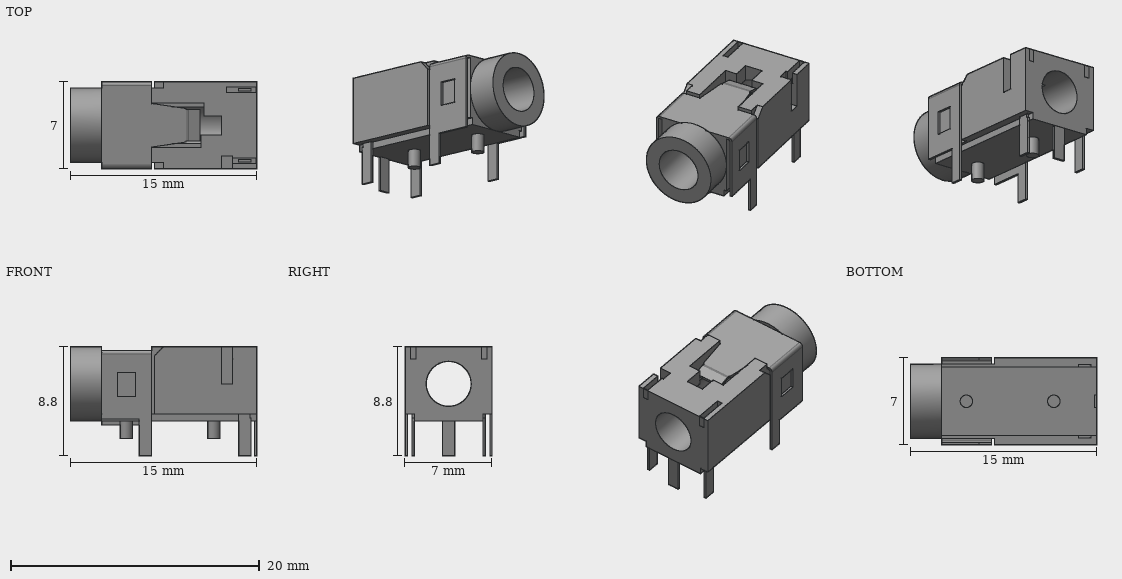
import cadquery as cq


LENGTH = 15.0
WIDTH = 7.0
HEIGHT = 6.0
LEG_DROP = 2.8
LEG_WIDTH = 1.0
SHEET = 0.2

BARREL_LENGTH = 2.5
BARREL_DIAMETER = HEIGHT
BORE_DIAMETER = 3.6
BORE_HEIGHT = HEIGHT / 2
WAIST_WIDTH = 6.0
BASE_WIDTH = 5.52
BASE_HEIGHT = 0.55
FLANGE_START = 6.52
BLOCK_START = 6.75
EAR_CHAMFER = 0.75
SHELL_TOP = 5.7
WAIST_TOP = SHELL_TOP - SHEET

POST_DIAMETER = 1.0
POST_LENGTH = 1.41
POST_POSITIONS = (4.5, 11.54)

OPENING_HALF_WIDTH = 1.78
OPENING_END_LEFT = 10.72
OPENING_END_RIGHT = 10.5
OPENING_FLOOR = 4.02
KEYWAY_WIDTH = 1.53
KEYWAY_END = 12.15

SLOT_CENTRE_Y = 2.85
SLOT_WIDTH = 0.44
SLOT_END = 14.94
SLOT_DEPTH = 1.0
SLOT_FLOOR = HEIGHT - SLOT_DEPTH
LEFT_SLOT_START = 12.57
NOTCH_START = 12.15
NOTCH_END = 13.05
NOTCH_FLOOR = 3.0
NOTCH_DEPTH = 1.02

TERMINAL_START = 13.53
TERMINAL_STEP_WIDTH = 0.09
TERMINAL_STEP_BOTTOM = 0.27

SHELL_BEND_RADIUS = 0.3
LEFT_WALL_BOTTOM = -0.32
RIGHT_WALL_BOTTOM = 0.18
WINDOW_START = 3.76
WINDOW_END = 5.25
WINDOW_BOTTOM = 1.96
WINDOW_TOP = 3.9
TONGUE_ROOT_HALF_WIDTH = 1.75
TONGUE_NECK_X = 9.28
TONGUE_NECK_HALF_WIDTH = 1.35
TONGUE_TIP_HALF_WIDTH = 1.26
TONGUE_BEND_X = 9.44
TONGUE_BEND_RADIUS = 0.36
TONGUE_TIP_X = 10.41
TONGUE_TIP_DROP = 0.27


def box(x_range, y_range, z_range):
    """Box spanning the given (low, high) ranges."""
    (x0, x1), (y0, y1), (z0, z1) = x_range, y_range, z_range
    return cq.Workplane("XY").box(x1 - x0, y1 - y0, z1 - z0, centered=False).translate((x0, y0, z0))


def centred(width):
    """Range of the given width about zero."""
    return (-width / 2, width / 2)


def rod_along_x(diameter, length):
    return cq.Workplane("YZ").center(0, BORE_HEIGHT).circle(diameter / 2).extrude(length)


def wide_block():
    """Full-width rear block with its front upper corners chamfered outside the waist."""
    block = box((BLOCK_START, LENGTH), centred(WIDTH), (BASE_HEIGHT, HEIGHT))
    chamfer = (
        cq.Workplane("XZ", origin=(0, WIDTH / 2, 0))
        .moveTo(BLOCK_START, HEIGHT - EAR_CHAMFER)
        .lineTo(BLOCK_START, HEIGHT)
        .lineTo(BLOCK_START + EAR_CHAMFER, HEIGHT)
        .close()
        .extrude(WIDTH)
    )
    return block.cut(chamfer)


def roof_opening():
    """Stepped opening that lets the shell tongue reach the bore."""
    heights = (OPENING_FLOOR, HEIGHT)
    left = box((FLANGE_START, OPENING_END_LEFT), (0, OPENING_HALF_WIDTH), heights)
    right = box((FLANGE_START, OPENING_END_RIGHT), (-OPENING_HALF_WIDTH, 0), heights)
    keyway = box((FLANGE_START, KEYWAY_END), centred(KEYWAY_WIDTH), (BORE_HEIGHT, HEIGHT))
    return left.union(right).union(keyway)


def terminal_slot(side, start):
    centre = side * SLOT_CENTRE_Y
    across = (centre - SLOT_WIDTH / 2, centre + SLOT_WIDTH / 2)
    return box((start, SLOT_END), across, (SLOT_FLOOR, HEIGHT))


def make_side_terminal(side):
    """Flat leg that runs from the slot floor down past the base, beside the bottom strip."""
    inner = side * BASE_WIDTH / 2
    outer = inner + side * SHEET
    across = (min(inner, outer), max(inner, outer))
    end = TERMINAL_START + LEG_WIDTH
    leg = box((TERMINAL_START, end), across, (-LEG_DROP, SLOT_FLOOR))
    step = box((end - TERMINAL_STEP_WIDTH, end), across, (TERMINAL_STEP_BOTTOM, BASE_HEIGHT))
    return leg.cut(step)


def make_rear_terminal():
    """Flat leg under the rear edge of the base."""
    return box((LENGTH - SHEET, LENGTH), centred(LEG_WIDTH), (-LEG_DROP, 0))


def shell_walls():
    """U-shaped sheet over the waist, with a leg at the rear end of each side wall."""
    shell_range = (BARREL_LENGTH, FLANGE_START)
    outer = box(shell_range, centred(WIDTH), (-LEG_DROP, SHELL_TOP))
    outer = outer.edges("|X and >Z").fillet(SHELL_BEND_RADIUS)
    inner = box(shell_range, centred(WIDTH - 2 * SHEET), (-LEG_DROP, WAIST_TOP))
    inner = inner.edges("|X and >Z").fillet(SHELL_BEND_RADIUS - SHEET)
    shell = outer.cut(inner)

    leg_start = FLANGE_START - LEG_WIDTH
    below_left = box((BARREL_LENGTH, leg_start), (0, WIDTH / 2), (-LEG_DROP, LEFT_WALL_BOTTOM))
    below_right = box((BARREL_LENGTH, leg_start), (-WIDTH / 2, 0), (-LEG_DROP, RIGHT_WALL_BOTTOM))
    windows = box((WINDOW_START, WINDOW_END), centred(WIDTH), (WINDOW_BOTTOM, WINDOW_TOP))
    return shell.cut(below_left).cut(below_right).cut(windows)


def tongue():
    """Tapered tongue from the shell roof into the opening, with its tip bent down."""
    taper = (
        cq.Workplane("XY", origin=(0, 0, WAIST_TOP))
        .moveTo(FLANGE_START, -TONGUE_ROOT_HALF_WIDTH)
        .lineTo(TONGUE_NECK_X, -TONGUE_NECK_HALF_WIDTH)
        .lineTo(TONGUE_NECK_X, TONGUE_NECK_HALF_WIDTH)
        .lineTo(FLANGE_START, TONGUE_ROOT_HALF_WIDTH)
        .close()
        .extrude(SHEET)
    )
    tip = (
        cq.Workplane("XZ", origin=(0, TONGUE_TIP_HALF_WIDTH, 0))
        .moveTo(TONGUE_NECK_X, WAIST_TOP)
        .lineTo(TONGUE_NECK_X, SHELL_TOP)
        .lineTo(TONGUE_BEND_X, SHELL_TOP)
        .lineTo(TONGUE_TIP_X, SHELL_TOP - TONGUE_TIP_DROP)
        .lineTo(TONGUE_TIP_X, WAIST_TOP - TONGUE_TIP_DROP)
        .lineTo(TONGUE_BEND_X, WAIST_TOP)
        .close()
        .extrude(2 * TONGUE_TIP_HALF_WIDTH)
    )
    bend_edge = cq.selectors.NearestToPointSelector((TONGUE_BEND_X, 0, SHELL_TOP))
    tip = tip.edges(bend_edge).fillet(TONGUE_BEND_RADIUS)
    return taper.union(tip)


def make_housing():
    housing = rod_along_x(BARREL_DIAMETER, BARREL_LENGTH)
    housing = housing.union(box((BARREL_LENGTH, LENGTH), centred(BASE_WIDTH), (0, BASE_HEIGHT)))
    housing = housing.union(box((BARREL_LENGTH, LENGTH), centred(WAIST_WIDTH), (BASE_HEIGHT, WAIST_TOP)))
    flange_range = (FLANGE_START, BLOCK_START + EAR_CHAMFER)
    housing = housing.union(box(flange_range, centred(WAIST_WIDTH), (BASE_HEIGHT, HEIGHT)))
    housing = housing.union(wide_block())
    for x in POST_POSITIONS:
        post = cq.Workplane("XY").center(x, 0).circle(POST_DIAMETER / 2).extrude(-POST_LENGTH)
        housing = housing.union(post)

    housing = housing.cut(rod_along_x(BORE_DIAMETER, LENGTH))
    housing = housing.cut(roof_opening())
    housing = housing.cut(terminal_slot(1, LEFT_SLOT_START))
    housing = housing.cut(terminal_slot(-1, NOTCH_END))
    wall_notch = box(
        (NOTCH_START, NOTCH_END),
        (-WIDTH / 2, -WIDTH / 2 + NOTCH_DEPTH),
        (NOTCH_FLOOR, HEIGHT),
    )
    housing = housing.cut(wall_notch)
    return housing.union(shell_walls()).union(tongue()).clean()


side_terminals = [make_side_terminal(side) for side in (-1, 1)]
rear_terminal = make_rear_terminal()
housing = make_housing()
for terminal in side_terminals:
    housing = housing.cut(terminal)

result = cq.Compound.makeCompound(
    [housing.val(), rear_terminal.val(), *[terminal.val() for terminal in side_terminals]]
)